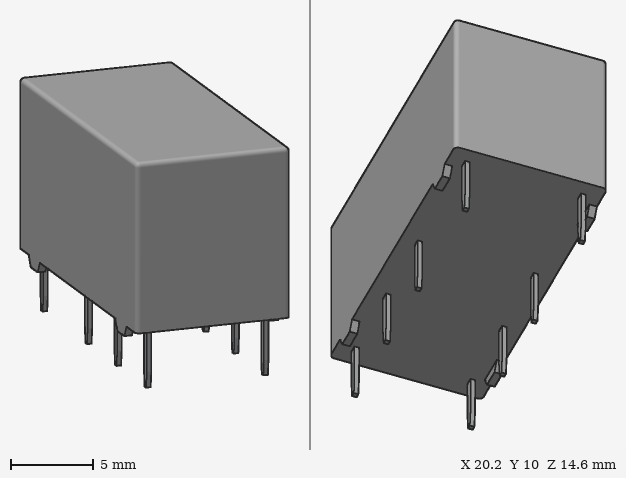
import cadquery as cq

body_length = 20.2
body_width = 10.01
body_height = 10.8
edge_radius = 0.3

foot_spacing = 14.9
foot_top_width = 1.95
foot_bottom_width = 1.2
foot_height = 0.7
foot_thickness = 0.5

grid = 2.54
pin_columns = [-3.5 * grid, -0.5 * grid, 1.5 * grid, 3.5 * grid]
pin_row_spacing = 3 * grid
pin_width = 0.5
pin_tip_width = 0.3
pin_thickness = 0.3
pin_length = 3.8
pin_taper_length = 1.0


def make_body():
    """Box with rounded upright and top edges and a sharp bottom rim."""
    box = cq.Workplane("XY").box(body_length, body_width, body_height, centered=(True, True, False))
    return box.edges("|Z or >Z").fillet(edge_radius)


def extrude_along_y(outline, thickness):
    """Extrude an XZ outline into a plate centred on Y = 0."""
    return cq.Workplane("XZ").polyline(outline).close().extrude(thickness / 2, both=True)


def make_foot():
    """Trapezoidal foot hanging from Z = 0."""
    half_top = foot_top_width / 2
    half_bottom = foot_bottom_width / 2
    outline = [
        (-half_top, 0),
        (-half_bottom, -foot_height),
        (half_bottom, -foot_height),
        (half_top, 0),
    ]
    return extrude_along_y(outline, foot_thickness)


def make_pin():
    """Flat pin hanging from Z = 0, tapered in width at its lower end."""
    half_width = pin_width / 2
    half_tip = pin_tip_width / 2
    taper_start = pin_taper_length - pin_length
    outline = [
        (-half_width, 0),
        (-half_width, taper_start),
        (-half_tip, -pin_length),
        (half_tip, -pin_length),
        (half_width, taper_start),
        (half_width, 0),
    ]
    return extrude_along_y(outline, pin_thickness)


result = make_body()
for side in (-1, 1):
    foot_y = side * (body_width - foot_thickness) / 2
    for end in (-1, 1):
        result = result.union(make_foot().translate((end * foot_spacing / 2, foot_y, 0)))

    pin_y = side * pin_row_spacing / 2
    for pin_x in pin_columns:
        result = result.union(make_pin().translate((pin_x, pin_y, 0)))